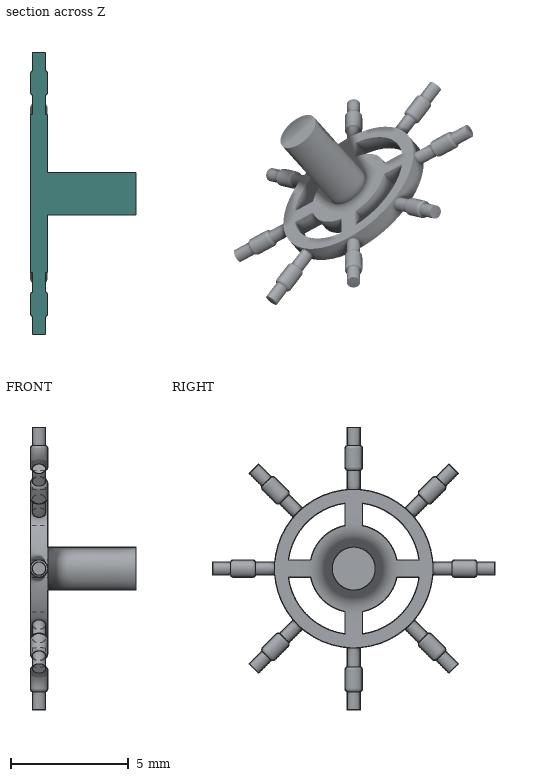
import cadquery as cq

tip_diameter = 12.0
total_depth = 4.5
wheel_thickness = 0.75
rim_outer_diameter = 6.75
rim_inner_diameter = 5.59
hub_diameter = 3.75
spoke_width = wheel_thickness
shaft_diameter = 1.82

handle_count = 8
pin_diameter = 0.56
collar_diameter = 0.75
collar_length = 1.08
collar_to_tip = 0.75
collar_edge_radius = 0.15

tip_radius = tip_diameter / 2
rim_middle_radius = (rim_outer_diameter + rim_inner_diameter) / 4


def disc(diameter, depth):
    """Cylinder along +X starting at the front face."""
    return cq.Workplane("YZ").circle(diameter / 2).extrude(depth)


def make_wheel():
    """Rim, hub and two crossing bars that form four spokes."""
    rim = disc(rim_outer_diameter, wheel_thickness).cut(disc(rim_inner_diameter, wheel_thickness))
    bar_length = 2 * rim_middle_radius
    bars = cq.Workplane("YZ").rect(bar_length, spoke_width).extrude(wheel_thickness)
    bars = bars.union(cq.Workplane("YZ").rect(spoke_width, bar_length).extrude(wheel_thickness))
    return rim.union(bars).union(disc(hub_diameter, wheel_thickness))


def make_handle():
    """Pin rooted in the rim, with a round-edged collar, pointing along +Z."""
    axis = cq.Workplane("XY").center(wheel_thickness / 2, 0)
    pin = (
        axis.workplane(offset=rim_middle_radius)
        .circle(pin_diameter / 2)
        .extrude(tip_radius - rim_middle_radius)
    )
    collar = (
        axis.workplane(offset=tip_radius - collar_to_tip - collar_length)
        .circle(collar_diameter / 2)
        .extrude(collar_length)
        .edges("%CIRCLE")
        .fillet(collar_edge_radius)
    )
    return pin.union(collar)


result = make_wheel().union(disc(shaft_diameter, total_depth))

handle = make_handle()
for index in range(handle_count):
    angle = index * 360 / handle_count
    result = result.union(handle.rotate((0, 0, 0), (1, 0, 0), angle))